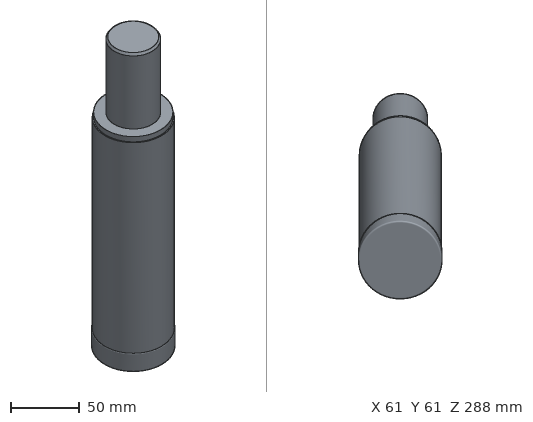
import cadquery as cq

total_height = 288.0
rod_exposed = 70.0
housing_height = total_height - rod_exposed

body_diameter = 60.0
neck_diameter = 58.0
neck_height = 5.0
base_diameter = 61.0
base_height = 17.3
base_fillet = 1.2

rod_diameter = 40.0
rod_chamfer_height = 2.0
rod_chamfer_width = 1.5


def cylinder(diameter, bottom, top):
    """Upright cylinder on the Z axis between two heights."""
    return cq.Workplane("XY").workplane(offset=bottom).circle(diameter / 2).extrude(top - bottom)


def make_housing():
    """Barrel with a wider, rounded base band and a slightly narrower neck."""
    base = cylinder(base_diameter, 0, base_height)
    base = base.faces("<Z or >Z").edges().fillet(base_fillet)
    barrel = cylinder(body_diameter, base_height / 2, housing_height - neck_height)
    neck = cylinder(neck_diameter, housing_height - neck_height, housing_height)
    return base.union(barrel).union(neck)


def make_rod():
    """Plain rod standing on the housing, with a steep chamfer on its top edge."""
    rod = cylinder(rod_diameter, housing_height, total_height)
    return rod.faces(">Z").edges().chamfer(rod_chamfer_height, rod_chamfer_width)


housing = make_housing()
rod = make_rod()

result = cq.Compound.makeCompound([housing.val(), rod.val()])